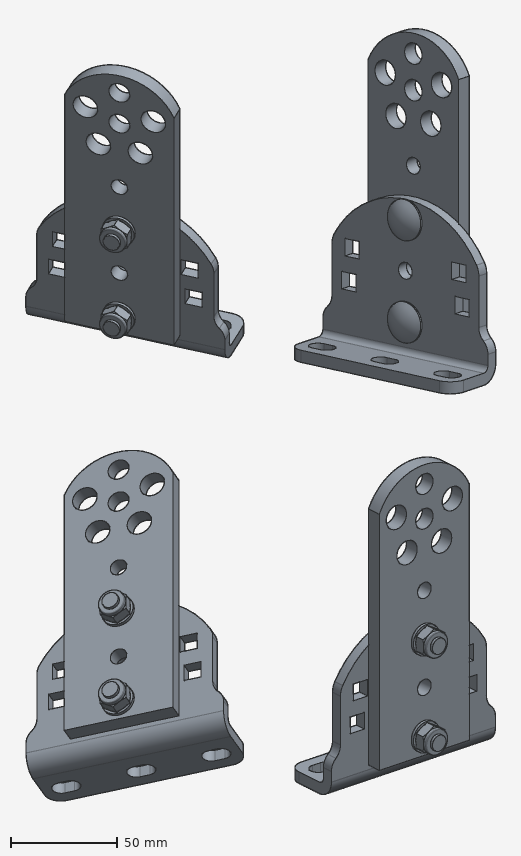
import cadquery as cq
import math


sheet = 6.0
bracket_width = 100.0
foot_depth = 32.3
foot_corner_radius = 8.0
bend_inner_radius = 3.0
bend_outer_radius = bend_inner_radius + sheet

upright_width = 89.0
crown_radius = 50.0
crown_center_z = 31.5
shoulder_radius = 10.0
flare_radius = 8.0
flare_bottom_z = 14.5

slot_length = 14.0
slot_width = 9.0
slot_pitch = 38.0
slot_edge_distance = 11.0
square_side = 8.5
square_places = [(32.3, 51.5), (34.2, 35.0)]

plate_thickness = 8.0
plate_width = 55.0
plate_bottom_z = 11.5
plate_height = 150.0
plate_top_z = plate_bottom_z + plate_height
plate_top_radius = 30.0

hole_diameter = 8.2
hole_pitch = 25.0
first_hole_z = plate_bottom_z + 10.0
hole_heights = [first_hole_z + i * hole_pitch for i in range(4)]
bolted_heights = [hole_heights[0], hole_heights[2]]

ring_radius = 18.0
ring_count = 5
ring_center_z = plate_top_z - 28.0
small_ring_diameter = 10.5
large_ring_diameter = 12.3

shank_diameter = hole_diameter
head_diameter = 20.2
head_height = 4.5
head_rim = 1.0
washer_diameter = 16.0
washer_thickness = 1.6
nut_sides = 6
nut_across_flats = 13.2
nut_height = 7.8
nut_hex_height = 5.8
nut_chamfer_angle = 20
nut_edge_radius = 0.3
bolt_tip = 1.6

washer_seat_y = -plate_thickness
nut_seat_y = washer_seat_y - washer_thickness
nut_end_y = nut_seat_y - nut_height


def front_plane(y):
    """Sketch plane facing -Y: local x is X, local y is Z, extrusion runs toward -Y."""
    return cq.Workplane("XZ", origin=(0, y, 0))


def holes(places, diameter, y_start, depth):
    return front_plane(y_start).pushPoints(places).circle(diameter / 2).extrude(depth)


def upright_outline():
    """Closed outline of the upright: crown, shoulders and flared lower corners."""
    half_width = bracket_width / 2
    half_upright = upright_width / 2

    shoulder_x = half_upright - shoulder_radius
    shoulder_rise = math.sqrt((crown_radius - shoulder_radius) ** 2 - shoulder_x**2)
    shoulder_z = crown_center_z + shoulder_rise
    reach = crown_radius / (crown_radius - shoulder_radius)
    crown_end = (shoulder_x * reach, crown_center_z + shoulder_rise * reach)

    step = half_width - half_upright
    flare_rise = math.sqrt(4 * flare_radius * step - step**2)
    flare_top_z = flare_bottom_z + flare_rise
    flare_middle = (half_upright + step / 2, flare_bottom_z + flare_rise / 2)

    return (
        front_plane(sheet)
        .moveTo(-half_width, bend_outer_radius)
        .lineTo(-half_width, flare_bottom_z)
        .tangentArcPoint((-flare_middle[0], flare_middle[1]), relative=False)
        .tangentArcPoint((-half_upright, flare_top_z), relative=False)
        .lineTo(-half_upright, shoulder_z)
        .tangentArcPoint((-crown_end[0], crown_end[1]), relative=False)
        .tangentArcPoint(crown_end, relative=False)
        .tangentArcPoint((half_upright, shoulder_z), relative=False)
        .lineTo(half_upright, flare_top_z)
        .tangentArcPoint(flare_middle, relative=False)
        .tangentArcPoint((half_width, flare_bottom_z), relative=False)
        .lineTo(half_width, bend_outer_radius)
        .close()
    )


def make_foot():
    """Bend and horizontal foot, with rounded far corners and a row of slots."""
    bend_mid = math.sqrt(0.5)
    outer_mid = bend_outer_radius * (1 - bend_mid)
    inner_mid = bend_outer_radius - bend_inner_radius * bend_mid
    foot = (
        cq.Workplane("YZ", origin=(-bracket_width / 2, 0, 0))
        .moveTo(0, bend_outer_radius)
        .threePointArc((outer_mid, outer_mid), (bend_outer_radius, 0))
        .lineTo(foot_depth, 0)
        .lineTo(foot_depth, sheet)
        .lineTo(bend_outer_radius, sheet)
        .threePointArc((inner_mid, inner_mid), (sheet, bend_outer_radius))
        .close()
        .extrude(bracket_width)
    )
    foot = foot.edges("|Z and >Y").fillet(foot_corner_radius)
    slots = (
        cq.Workplane("XY")
        .pushPoints([(i * slot_pitch, foot_depth - slot_edge_distance) for i in (-1, 0, 1)])
        .slot2D(slot_length, slot_width)
        .extrude(sheet)
    )
    return foot.cut(slots)


def make_bracket():
    upright = upright_outline().extrude(sheet)
    squares = (
        front_plane(sheet)
        .pushPoints([(side * x, z) for x, z in square_places for side in (-1, 1)])
        .rect(square_side, square_side)
        .extrude(sheet)
    )
    bolt_holes = holes([(0, z) for z in hole_heights[:3]], hole_diameter, sheet, sheet)
    return upright.cut(squares).cut(bolt_holes).union(make_foot())


def make_plate():
    half_width = plate_width / 2
    top_drop = plate_top_radius - math.sqrt(plate_top_radius**2 - half_width**2)
    plate = (
        front_plane(0)
        .moveTo(-half_width, plate_bottom_z)
        .lineTo(-half_width, plate_top_z - top_drop)
        .threePointArc((0, plate_top_z), (half_width, plate_top_z - top_drop))
        .lineTo(half_width, plate_bottom_z)
        .close()
        .extrude(plate_thickness)
    )
    ring = []
    for i in range(ring_count):
        angle = math.radians(90 + i * 360 / ring_count)
        ring.append((ring_radius * math.cos(angle), ring_center_z + ring_radius * math.sin(angle)))
    small_places = [ring[0], (0, ring_center_z)]
    plate = plate.cut(holes(small_places, small_ring_diameter, 0, plate_thickness))
    plate = plate.cut(holes(ring[1:], large_ring_diameter, 0, plate_thickness))
    return plate.cut(holes([(0, z) for z in hole_heights], hole_diameter, 0, plate_thickness))


def make_bolt(z):
    """Domed head behind the bracket, with a plain shank that runs out past the nut."""
    rim_y = sheet + head_rim
    dome_height = head_height - head_rim
    head_radius = head_diameter / 2
    dome_radius = (head_radius**2 + dome_height**2) / (2 * dome_height)
    dome_center_y = sheet + head_height - dome_radius
    half_angle = math.asin(head_radius / dome_radius) / 2
    dome_mid = (
        dome_radius * math.sin(half_angle),
        dome_center_y + dome_radius * math.cos(half_angle),
    )
    tip_y = nut_end_y - bolt_tip
    profile = (
        cq.Workplane("XY")
        .moveTo(0, tip_y)
        .lineTo(shank_diameter / 2, tip_y)
        .lineTo(shank_diameter / 2, sheet)
        .lineTo(head_radius, sheet)
        .lineTo(head_radius, rim_y)
        .threePointArc(dome_mid, (0, sheet + head_height))
        .close()
    )
    return profile.revolve(360, (0, 0, 0), (0, 1, 0)).translate((0, 0, z))


def make_washer(z):
    return (
        front_plane(washer_seat_y)
        .center(0, z)
        .circle(washer_diameter / 2)
        .circle(shank_diameter / 2)
        .extrude(washer_thickness)
    )


def make_nut(z):
    """Lock nut: a hexagon with both ends chamfered, and a round-edged collar at the outer end."""
    flat_radius = nut_across_flats / 2
    half_side_angle = 180 / nut_sides
    corner_radius = flat_radius / math.cos(math.radians(half_side_angle))
    chamfer_drop = (corner_radius - flat_radius) * math.tan(math.radians(nut_chamfer_angle))
    hexagon = (
        front_plane(0)
        .polygon(nut_sides, 2 * corner_radius)
        .extrude(nut_hex_height)
        .rotate((0, 0, 0), (0, 1, 0), half_side_angle)
    )
    chamfer_envelope = (
        cq.Workplane("XY")
        .moveTo(0, 0)
        .lineTo(flat_radius, 0)
        .lineTo(corner_radius, -chamfer_drop)
        .lineTo(corner_radius, chamfer_drop - nut_hex_height)
        .lineTo(flat_radius, -nut_hex_height)
        .lineTo(0, -nut_hex_height)
        .close()
        .revolve(360, (0, 0, 0), (0, 1, 0))
    )
    collar = front_plane(-nut_hex_height).circle(flat_radius).extrude(nut_height - nut_hex_height)
    collar = collar.faces("<Y").edges().fillet(nut_edge_radius)
    bore = front_plane(0).circle(shank_diameter / 2).extrude(nut_height)
    nut = hexagon.intersect(chamfer_envelope).union(collar).cut(bore)
    return nut.translate((0, nut_seat_y, z))


bracket = make_bracket()
plate = make_plate()
fasteners = []
for height in bolted_heights:
    for make_fastener in (make_bolt, make_washer, make_nut):
        fasteners.append(make_fastener(height).val())

result = cq.Compound.makeCompound([bracket.val(), plate.val(), *fasteners])